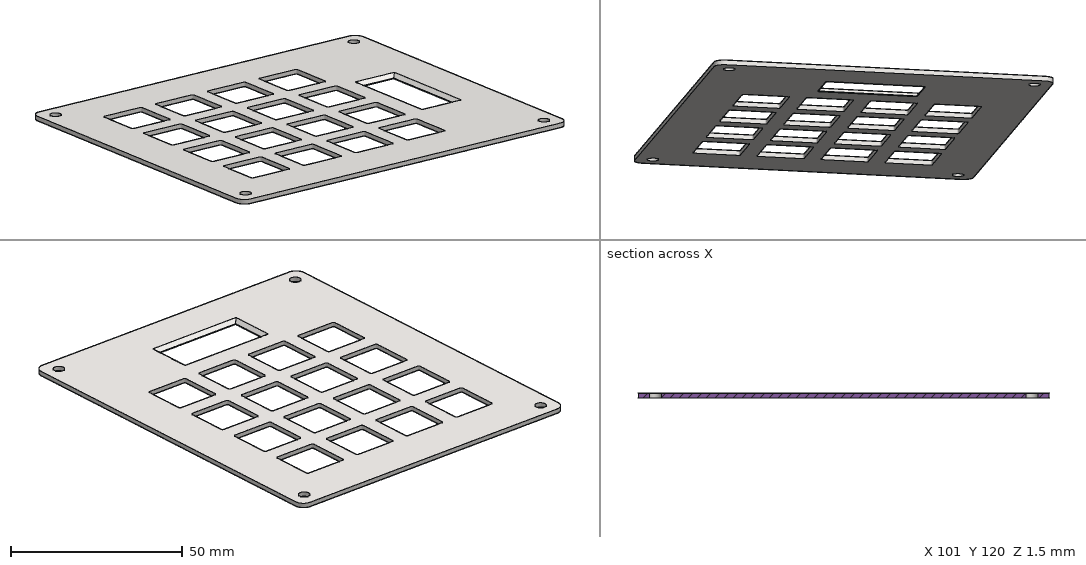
import cadquery as cq

plate_width = 101.0
plate_length = 120.0
plate_thickness = 1.5
plate_corner_radius = 3.0

screw_hole_diameter = 3.4
screw_hole_inset = 5.0

key_columns = 4
key_rows = 4
key_pitch = 19.1
key_opening = 14.0
key_corner_radius = 0.5
key_grid_center_y = -9.4

window_width = 29.5
window_height = 12.0
window_center_y = 40.0
window_flare = 1.2
window_land = plate_thickness - window_flare


def make_plate():
    plate = cq.Workplane("XY").rect(plate_width, plate_length).extrude(plate_thickness)
    return plate.edges("|Z").fillet(plate_corner_radius)


def make_screw_holes():
    spacing_x = plate_width - 2 * screw_hole_inset
    spacing_y = plate_length - 2 * screw_hole_inset
    corners = cq.Workplane("XY").rect(spacing_x, spacing_y, forConstruction=True).vertices()
    return corners.circle(screw_hole_diameter / 2).extrude(plate_thickness)


def make_key_openings():
    openings = (
        cq.Workplane("XY")
        .center(0, key_grid_center_y)
        .rarray(key_pitch, key_pitch, key_columns, key_rows)
        .rect(key_opening, key_opening)
        .extrude(plate_thickness)
    )
    return openings.edges("|Z").fillet(key_corner_radius)


def make_display_window():
    opening = (
        cq.Workplane("XY")
        .center(0, window_center_y)
        .rect(window_width, window_height)
        .extrude(plate_thickness)
    )
    flare = (
        cq.Workplane("XY", origin=(0, window_center_y, window_land))
        .rect(window_width, window_height)
        .workplane(offset=window_flare)
        .rect(window_width + 2 * window_flare, window_height + 2 * window_flare)
        .loft(ruled=True)
    )
    return opening.union(flare)


result = (
    make_plate()
    .cut(make_screw_holes())
    .cut(make_key_openings())
    .cut(make_display_window())
)